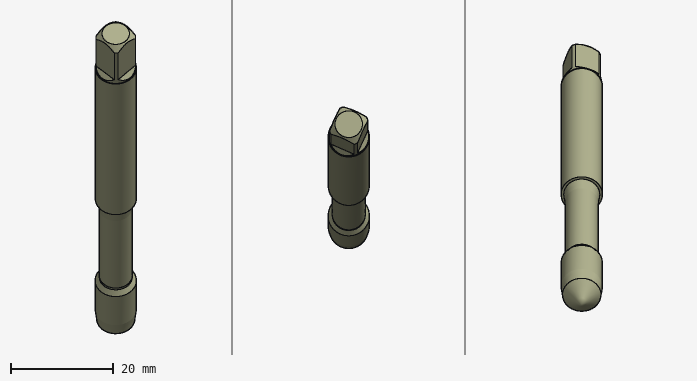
import cadquery as cq

length = 93.6

head_diameter = 8.05
point_base_diameter = 7.5
point_height = point_base_diameter / 2
lead_top = 6.7
head_shoulder_bottom = 15.8
head_shoulder_top = 16.9
head_top = 17.5

neck_diameter = 6.5
neck_taper_bottom = 38.6
neck_taper_diameter = 7.0
shank_diameter = 8.05
shank_bottom = 41.6
shank_top = 82.8

drive_diameter = 7.8
drive_width = 6.0
drive_top_diameter = 5.3
collar_height = 0.3
drive_chamfer = (drive_diameter - drive_top_diameter) / 2
drive_ledge = shank_top + collar_height
ledge_rise = (drive_diameter - drive_width) / 2


def turned(profile):
    """Revolve (radius, height) points around the Z axis."""
    return cq.Workplane("XZ").polyline(profile).close().revolve(360, (0, 0, 0), (0, 1, 0))


def make_head():
    """Pointed cutting head with a tapered lead and a short collar that meets the neck."""
    return turned([
        (0, 0),
        (point_base_diameter / 2, point_height),
        (head_diameter / 2, lead_top),
        (head_diameter / 2, head_shoulder_bottom),
        (neck_diameter / 2, head_shoulder_top),
        (neck_diameter / 2, head_top),
        (0, head_top),
    ])


def make_flat_cutter():
    """Prism that removes everything outside one drive flat, with a sloped run-out."""
    flat = drive_width / 2
    outside = shank_diameter
    profile = [
        (flat, length),
        (flat, drive_ledge + ledge_rise),
        (drive_diameter / 2, drive_ledge),
        (outside, drive_ledge),
        (outside, length),
    ]
    return cq.Workplane("XZ").polyline(profile).close().extrude(shank_diameter, both=True)


def make_shank():
    """Neck and shank turned from one bar, with four flats forming the square drive."""
    shank = turned([
        (0, head_top),
        (neck_diameter / 2, head_top),
        (neck_diameter / 2, neck_taper_bottom),
        (neck_taper_diameter / 2, shank_bottom),
        (shank_diameter / 2, shank_bottom),
        (shank_diameter / 2, shank_top),
        (drive_diameter / 2, shank_top),
        (drive_diameter / 2, length - drive_chamfer),
        (drive_top_diameter / 2, length),
        (0, length),
    ])
    for side in range(4):
        shank = shank.cut(make_flat_cutter().rotate((0, 0, 0), (0, 0, 1), 90 * side))
    return shank


head = make_head()
shank = make_shank()

result = cq.Compound.makeCompound([head.val(), shank.val()])